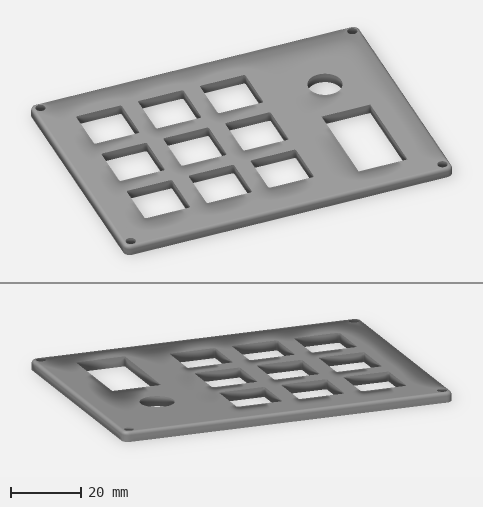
import cadquery as cq

plate_width = 73.0
plate_length = 101.0
plate_thickness = 3.0
corner_radius = 2.0
top_edge_radius = 1.0

screw_diameter = 2.9
screw_inset = 2.5

knob_diameter = 10.0
knob_center = (-13.68, 31.3)

display_width = 28.0
display_height = 15.0
display_center = (14.1, 32.1)

key_size = 14.0
key_corner_radius = 0.5
key_pitch = 19.05
key_columns = 3
key_rows = 3
key_grid_center = (-0.4, -14.15)


def make_plate():
    """Plate with rounded corners and a rounded top rim."""
    plate = cq.Workplane("XY").box(plate_width, plate_length, plate_thickness, centered=(True, True, False))
    plate = plate.edges("|Z").fillet(corner_radius)
    return plate.faces(">Z").edges().fillet(top_edge_radius)


def round_cutter(diameter, center):
    """Cylinder through the full plate thickness."""
    return cq.Workplane("XY").center(*center).circle(diameter / 2).extrude(plate_thickness)


def rectangular_cutter(width, height, center):
    """Sharp-cornered block through the full plate thickness."""
    return cq.Workplane("XY").center(*center).rect(width, height).extrude(plate_thickness)


def screw_cutters():
    """One cylinder near each corner of the plate."""
    spacing_x = plate_width - 2 * screw_inset
    spacing_y = plate_length - 2 * screw_inset
    corners = cq.Workplane("XY").rect(spacing_x, spacing_y, forConstruction=True).vertices()
    return corners.circle(screw_diameter / 2).extrude(plate_thickness)


def key_cutters():
    """Grid of square blocks with lightly rounded vertical edges."""
    grid = cq.Workplane("XY").center(*key_grid_center).rarray(key_pitch, key_pitch, key_columns, key_rows)
    return grid.rect(key_size, key_size).extrude(plate_thickness).edges("|Z").fillet(key_corner_radius)


result = make_plate()
result = result.cut(screw_cutters())
result = result.cut(round_cutter(knob_diameter, knob_center))
result = result.cut(rectangular_cutter(display_width, display_height, display_center))
result = result.cut(key_cutters())